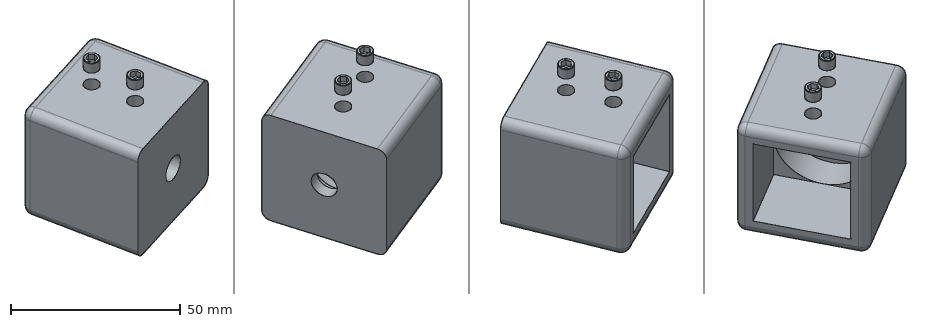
import cadquery as cq

length = 40.0
width = 41.0
height = 41.0
edge_radius = 3.05

socket_side = 30.0
socket_depth = 22.0
bore_diameter = socket_side
bore_depth = 10.0
counterbore_diameter = 15.0
counterbore_depth = 4.0
through_diameter = 8.5

screw_diameter = 5.05
screw_height = 4.0
screw_top = 51.3
screw_chamfer = 0.2
hex_across_corners = 3.5
hex_depth = 2.0
first_screw_x = 12.05
second_screw_x = socket_depth + bore_depth / 2
screw_places = [(first_screw_x, 35), (second_screw_x, -7)]

axis_height = height / 2
bore_end = socket_depth + bore_depth


def x_cylinder(diameter, start, depth):
    """Cylinder on the cavity axis, running along +X."""
    return cq.Workplane("YZ", origin=(start, 0, axis_height)).circle(diameter / 2).extrude(depth)


def make_block():
    """Block rounded along X and around the socket face; the far end stays sharp."""
    block = cq.Workplane("XY").box(length, width, height, centered=(False, True, False))
    return block.edges("|X or <X").fillet(edge_radius)


def make_cavity():
    """Square socket, round bore, counterbore and through hole in line."""
    socket = cq.Workplane("YZ", origin=(0, 0, axis_height)).rect(socket_side, socket_side)
    cavity = socket.extrude(socket_depth)
    cavity = cavity.union(x_cylinder(bore_diameter, socket_depth, bore_depth))
    cavity = cavity.union(x_cylinder(counterbore_diameter, bore_end, counterbore_depth))
    return cavity.union(x_cylinder(through_diameter, 0, length))


def make_housing():
    """Block with its cavity and the screw holes through the top wall."""
    housing = make_block().cut(make_cavity())
    for x, _ in screw_places:
        hole = cq.Workplane("XY", origin=(x, 0, axis_height)).circle(screw_diameter / 2)
        housing = housing.cut(hole.extrude(height - axis_height))
    return housing


def make_set_screw(x, hex_angle):
    """Plain set screw with chamfered ends and a hexagon socket in its top."""
    base = cq.Workplane("XY", origin=(x, 0, screw_top - screw_height))
    screw = base.circle(screw_diameter / 2).extrude(screw_height)
    screw = screw.faces("<Z or >Z").edges().chamfer(screw_chamfer)
    top = cq.Workplane("XY", origin=(x, 0, screw_top)).transformed(rotate=(0, 0, hex_angle))
    return screw.cut(top.polygon(6, hex_across_corners).extrude(-hex_depth))


housing = make_housing()
set_screws = []
for screw_x, screw_hex_angle in screw_places:
    set_screws.append(make_set_screw(screw_x, screw_hex_angle).val())

result = cq.Compound.makeCompound([housing.val(), *set_screws])